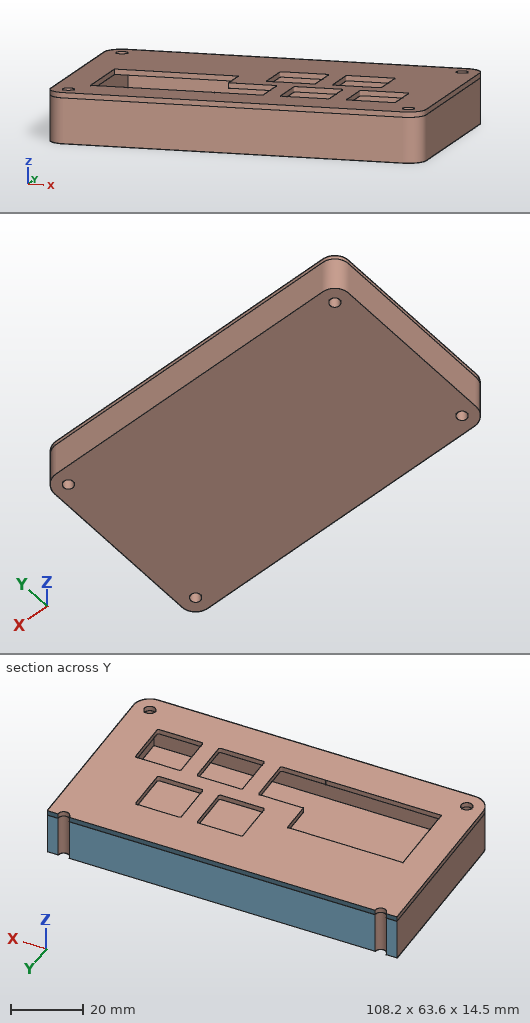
import cadquery as cq

length = 108.2
width = 63.6
height = 14.5
corner_radius = 5.1

plate_thickness = 1.5
case_height = height - plate_thickness

screw_hole_diameter = 3.4
screw_inset = 5.1

wall_thickness = 7.6
floor_thickness = 3.0
board_thickness = 1.6
board_length = length - 2 * wall_thickness
board_width = width - 2 * wall_thickness

key_size = 14.1
key_corner_radius = 0.5
key_pitch = 19.0
lower_row_start_x = -2.0
lower_row_y = -12.9
upper_row_start_x = lower_row_start_x + key_pitch / 2
upper_row_y = lower_row_y + key_pitch
lower_row_keys = 3
upper_row_keys = 2

window_left = -44.6
window_length = 35.7
window_width = 23.9
window_bottom = lower_row_y - key_size / 2

key_centers = [
    (lower_row_start_x + i * key_pitch, lower_row_y) for i in range(lower_row_keys)
] + [
    (upper_row_start_x + i * key_pitch, upper_row_y) for i in range(upper_row_keys)
]


def rounded_slab(bottom_z, thickness):
    """Slab with the outer outline of the enclosure and its four screw holes."""
    return (
        cq.Workplane("XY", origin=(0, 0, bottom_z))
        .rect(length, width)
        .extrude(thickness)
        .edges("|Z")
        .fillet(corner_radius)
        .faces(">Z")
        .workplane(origin=(0, 0, bottom_z + thickness))
        .rect(length - 2 * screw_inset, width - 2 * screw_inset, forConstruction=True)
        .vertices()
        .hole(screw_hole_diameter)
    )


def make_case():
    """Tray with a rectangular cavity open at the top."""
    cavity = cq.Workplane("XY", origin=(0, 0, floor_thickness)).rect(board_length, board_width).extrude(
        case_height - floor_thickness
    )
    return rounded_slab(0, case_height).cut(cavity)


def make_board():
    """Plain board that fills the cavity from wall to wall and lies on its floor."""
    return (
        cq.Workplane("XY", origin=(0, 0, floor_thickness))
        .rect(board_length, board_width)
        .extrude(board_thickness)
    )


def make_plate():
    """Cover plate with the key openings and the display window."""
    keys = (
        cq.Workplane("XY", origin=(0, 0, case_height))
        .pushPoints(key_centers)
        .rect(key_size, key_size)
        .extrude(plate_thickness)
        .edges("|Z")
        .fillet(key_corner_radius)
    )
    window = (
        cq.Workplane("XY", origin=(window_left, window_bottom, case_height))
        .rect(window_length, window_width, centered=False)
        .extrude(plate_thickness)
    )
    return rounded_slab(case_height, plate_thickness).cut(keys).cut(window)


case = make_case()
board = make_board()
plate = make_plate()

result = cq.Compound.makeCompound([case.val(), board.val(), plate.val()])